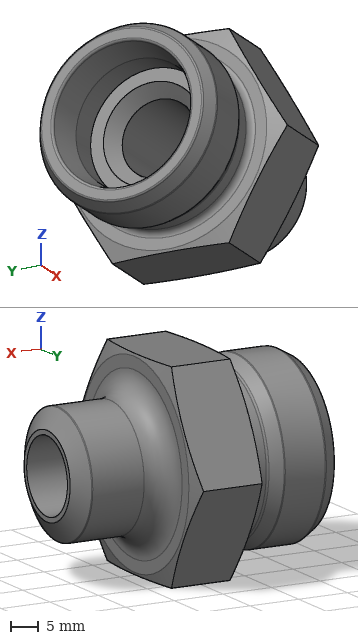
import cadquery as cq
import math

total_length = 50.0
hex_start = 18.0
hex_width = 14.0
hex_end = hex_start + hex_width

across_flats = 41.0
across_corners = across_flats / math.cos(math.radians(30))
hex_face_diameter = 40.0
hex_chamfer_angle = 15.0

thread_radius = 36.0 / 2
undercut_radius = 32.9 / 2
thread_end = 11.15
thread_chamfer_angle = 30.0
undercut_blend_radius = 1.0
undercut_fillet = 1.25

spigot_radius = 25.0 / 2
spigot_tip_radius = 17.0 / 2
spigot_chamfer_angle = 30.0
spigot_fillet = 5.0

bore_radius = 15.0 / 2
countersink_radius = 20.0 / 2
countersink_depth = 2.5
socket_radius = 25.2 / 2
socket_depth = 12.0
mouth_radius = 27.9 / 2
cone_half_angle = 12.0

mouth_round = 0.5
face_round = 0.4
thread_start_round = 0.6
thread_end_round = 0.4
spigot_tip_round = 0.2


def run_for(rise, angle):
    """Axial length of a slope that rises radially at an angle to the axis."""
    return rise / math.tan(math.radians(angle))


def arc_middle(center_x, center_r, radius, angle):
    """Point on an arc at an angle measured from the +X axis."""
    direction = math.radians(angle)
    return (center_x + radius * math.cos(direction), center_r + radius * math.sin(direction))


def round_circle(body, x, radius, round_radius):
    """Round the circular edge of a given radius that lies around the X axis at x."""
    margin = 0.05
    reach = radius + margin
    selector = cq.selectors.BoxSelector(
        (x - margin, -reach, -reach),
        (x + margin, reach, reach),
        boundingbox=True,
    )
    circles = body.edges("%CIRCLE").edges(selector)
    matching = circles.filter(lambda edge: abs(edge.radius() - radius) < margin)
    return body.newObject(matching.vals()).fillet(round_radius)


def turned_body():
    """Thread, undercut and spigot as one turned solid."""
    slope_length = run_for(thread_radius - undercut_radius, thread_chamfer_angle)
    slope_end = thread_end + slope_length

    blend_tangent = undercut_blend_radius * math.tan(math.radians(thread_chamfer_angle / 2))
    slope_angle = math.radians(thread_chamfer_angle)
    blend_start = (
        slope_end - blend_tangent * math.cos(slope_angle),
        undercut_radius + blend_tangent * math.sin(slope_angle),
    )
    blend_end = (slope_end + blend_tangent, undercut_radius)
    blend_middle = arc_middle(
        blend_end[0],
        undercut_radius + undercut_blend_radius,
        undercut_blend_radius,
        270 - thread_chamfer_angle / 2,
    )

    fillet_start = hex_start - undercut_fillet
    fillet_top = undercut_radius + undercut_fillet
    spigot_start = hex_end + spigot_fillet
    spigot_fillet_top = spigot_radius + spigot_fillet
    tip_chamfer_length = (spigot_radius - spigot_tip_radius) * math.tan(math.radians(spigot_chamfer_angle))

    body = (
        cq.Workplane("XY")
        .moveTo(0, 0)
        .lineTo(0, undercut_radius)
        .lineTo(slope_length, thread_radius)
        .lineTo(thread_end, thread_radius)
        .lineTo(*blend_start)
        .threePointArc(blend_middle, blend_end)
        .lineTo(fillet_start, undercut_radius)
        .threePointArc(
            arc_middle(fillet_start, fillet_top, undercut_fillet, 315),
            (hex_start, fillet_top),
        )
        .lineTo(hex_end, spigot_fillet_top)
        .threePointArc(
            arc_middle(spigot_start, spigot_fillet_top, spigot_fillet, 225),
            (spigot_start, spigot_radius),
        )
        .lineTo(total_length - tip_chamfer_length, spigot_radius)
        .lineTo(total_length, spigot_tip_radius)
        .lineTo(total_length, 0)
        .close()
        .revolve(360, (0, 0), (1, 0))
    )
    body = round_circle(body, 0, undercut_radius, face_round)
    body = round_circle(body, slope_length, thread_radius, thread_start_round)
    body = round_circle(body, thread_end, thread_radius, thread_end_round)
    return round_circle(body, total_length - tip_chamfer_length, spigot_radius, spigot_tip_round)


def hexagon():
    """Hexagon with corners on the Y axis and conical chamfers on both faces."""
    prism = (
        cq.Workplane("YZ")
        .workplane(offset=hex_start)
        .polygon(6, across_corners)
        .extrude(hex_width)
    )
    face_radius = hex_face_diameter / 2
    corner_radius = across_corners / 2
    corner_drop = (corner_radius - face_radius) * math.tan(math.radians(hex_chamfer_angle))
    envelope = (
        cq.Workplane("XY")
        .polyline([
            (hex_start, 0),
            (hex_start, face_radius),
            (hex_start + corner_drop, corner_radius),
            (hex_end - corner_drop, corner_radius),
            (hex_end, face_radius),
            (hex_end, 0),
        ])
        .close()
        .revolve(360, (0, 0), (1, 0))
    )
    return prism.intersect(envelope)


def bore():
    """Stepped bore running through the whole part."""
    cone_end = run_for(mouth_radius - socket_radius, cone_half_angle)
    return (
        cq.Workplane("XY")
        .polyline([
            (0, 0),
            (0, mouth_radius),
            (cone_end, socket_radius),
            (socket_depth, socket_radius),
            (socket_depth, countersink_radius),
            (socket_depth + countersink_depth, bore_radius),
            (total_length, bore_radius),
            (total_length, 0),
        ])
        .close()
        .revolve(360, (0, 0), (1, 0))
    )


body_with_bore = turned_body().union(hexagon()).cut(bore())
result = round_circle(body_with_bore, 0, mouth_radius, mouth_round)